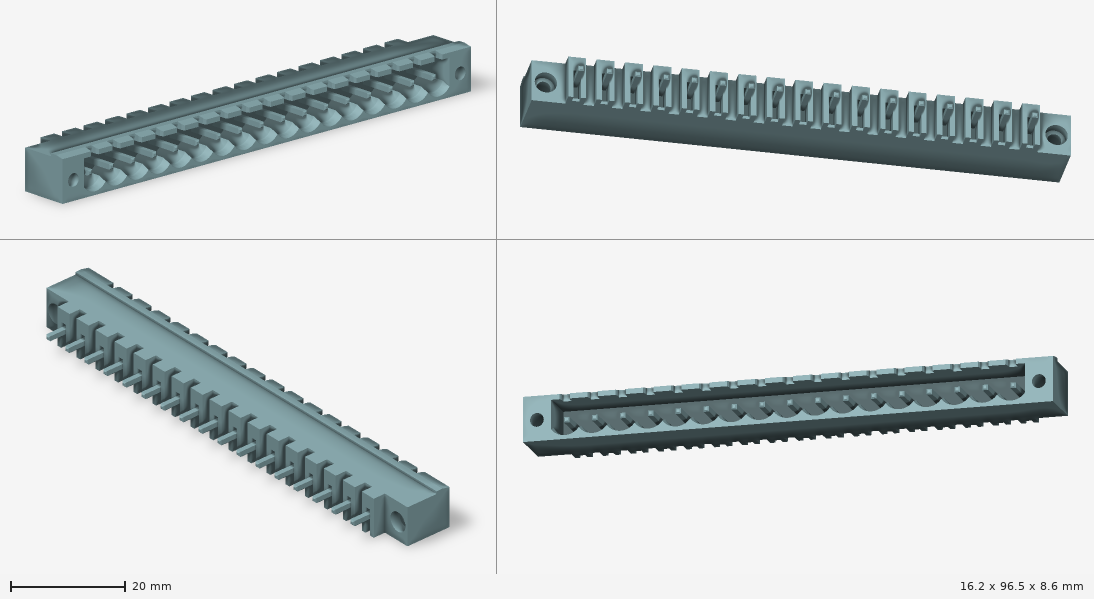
import cadquery as cq

POLE_COUNT = 17
PITCH = 5.08
FLANGE_LENGTH = PITCH
LENGTH = POLE_COUNT * PITCH + 2 * FLANGE_LENGTH

DEPTH = 12.4
HEIGHT = 8.6
BODY_BACK = 2.6
BODY_TOP = 8.05
RIB_START = 9.35
RIB_END = 10.7
FRONT_EDGE_HEIGHT = 8.24

FOOT_WIDTH = 3.2
FOOT_ROOT = 2.4
FOOT_SLOT_WIDTH = 1.3
FOOT_SLOT_TOP = 5.35
FOOT_SLOT_DEPTH = 1.4
FOOT_POCKET_BOTTOM = 0.55
FOOT_POCKET_DEPTH = 2.4

PIN_Z = 3.85
PIN_SIZE = 1.0
PIN_BACK = 3.8
PIN_FRONT = 11.3
PIN_CHAMFER = 0.25

CAVITY_FLOOR = 4.4
CAVITY_TOP = 7.3
LOBE_RADIUS = 2.8
LOBE_MOUTH_FLARE = HEIGHT - FRONT_EDGE_HEIGHT
NOTCH_WIDTH = 1.5
NOTCH_FLARE = 0.2
NOTCH_FLARE_LENGTH = 0.6

SCREW_DIAMETER = 2.5
COUNTERBORE_DIAMETER = 4.0
COUNTERBORE_DEPTH = 2.0
SCREW_Y = LENGTH / 2 - FLANGE_LENGTH / 2

POLE_YS = [(i - (POLE_COUNT - 1) / 2) * PITCH for i in range(POLE_COUNT)]


def block(x_range, y_center, width, z_range):
    """Box between two X and two Z limits, centred on y_center."""
    return (
        cq.Workplane("XY")
        .box(x_range[1] - x_range[0], width, z_range[1] - z_range[0], centered=(False, True, False))
        .translate((x_range[0], y_center, z_range[0]))
    )


def rod(x_range, y, z, diameter):
    """Cylinder along X."""
    return (
        cq.Workplane("YZ", origin=(x_range[0], y, z))
        .circle(diameter / 2)
        .extrude(x_range[1] - x_range[0])
    )


def combine(shapes):
    """Put separate, non-touching shapes into one workplane object."""
    return cq.Workplane(obj=cq.Compound.makeCompound([shape.val() for shape in shapes]))


def housing():
    """Long bar with the rib and the sloped front edge along its top."""
    profile = [
        (BODY_BACK, 0),
        (DEPTH, 0),
        (DEPTH, FRONT_EDGE_HEIGHT),
        (RIB_END, HEIGHT),
        (RIB_START, HEIGHT),
        (RIB_START, BODY_TOP),
        (BODY_BACK, BODY_TOP),
    ]
    return cq.Workplane("XZ", origin=(0, LENGTH / 2, 0)).polyline(profile).close().extrude(LENGTH)


def foot_row():
    """Feet, and the low strip along their roots that stands out behind the flanges."""
    span = (POLE_COUNT - 1) * PITCH + FOOT_WIDTH
    row = block((FOOT_ROOT, BODY_BACK), 0, span, (0, BODY_TOP))
    return row.union(combine([block((0, FOOT_ROOT), y, FOOT_WIDTH, (0, BODY_TOP)) for y in POLE_YS]))


def foot_slot(y):
    """Slot around a pin in the back of its foot, with a shallower sill at the bottom."""
    sill = block((0, FOOT_SLOT_DEPTH), y, FOOT_SLOT_WIDTH, (0, FOOT_SLOT_TOP))
    pocket = block((0, FOOT_POCKET_DEPTH), y, FOOT_SLOT_WIDTH, (FOOT_POCKET_BOTTOM, FOOT_SLOT_TOP))
    return sill.union(pocket)


def lobe(y):
    """Round space along a pin, widening as a cone towards the front face."""
    profile = [
        (CAVITY_FLOOR, 0),
        (CAVITY_FLOOR, LOBE_RADIUS),
        (RIB_END, LOBE_RADIUS),
        (DEPTH, LOBE_RADIUS + LOBE_MOUTH_FLARE),
        (DEPTH, 0),
    ]
    turned = cq.Workplane("XY").polyline(profile).close().revolve(360, (0, 0), (1, 0))
    return turned.translate((0, y, PIN_Z))


def plug_cavity():
    """Front cavity shared by all poles, with one rounded lobe under each pin."""
    x_range = (CAVITY_FLOOR, DEPTH)
    cavity = block(x_range, 0, POLE_COUNT * PITCH, (PIN_Z, CAVITY_TOP))
    for y in POLE_YS:
        pole_space = block(x_range, y, PITCH, (0, CAVITY_TOP))
        cavity = cavity.union(lobe(y).intersect(pole_space))
    return cavity


def notch(y):
    """Keying notch through the top wall of the cavity, flared at its mouth."""
    half = NOTCH_WIDTH / 2
    flare_start = DEPTH - NOTCH_FLARE_LENGTH
    outline = [
        (RIB_END, -half),
        (flare_start, -half),
        (DEPTH, -half - NOTCH_FLARE),
        (DEPTH, half + NOTCH_FLARE),
        (flare_start, half),
        (RIB_END, half),
    ]
    opening = cq.Workplane("XY", origin=(0, 0, PIN_Z)).polyline(outline).close().extrude(HEIGHT - PIN_Z)
    return opening.translate((0, y, 0))


def screw_hole(y):
    """Through hole, counterbored from the back of the flange."""
    through = rod((BODY_BACK, DEPTH), y, PIN_Z, SCREW_DIAMETER)
    counterbore = rod((BODY_BACK, BODY_BACK + COUNTERBORE_DEPTH), y, PIN_Z, COUNTERBORE_DIAMETER)
    return through.union(counterbore)


def pin(y):
    """Square contact pin with chamfered tips."""
    half = PIN_SIZE / 2
    bar = block((-PIN_BACK, PIN_FRONT), y, PIN_SIZE, (PIN_Z - half, PIN_Z + half))
    return bar.faces("<X or >X").chamfer(PIN_CHAMFER)


result = housing().union(foot_row())
result = result.cut(combine([foot_slot(y) for y in POLE_YS]))
result = result.cut(plug_cavity())
result = result.cut(combine([notch(y) for y in POLE_YS]))
result = result.cut(combine([screw_hole(y) for y in (-SCREW_Y, SCREW_Y)]))
result = result.union(combine([pin(y) for y in POLE_YS]))